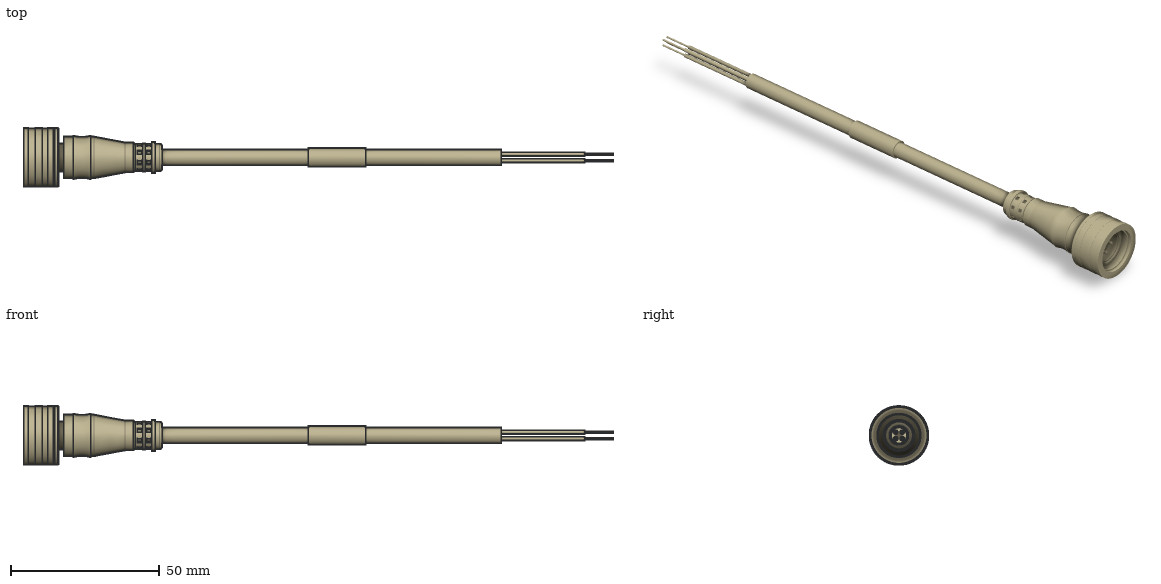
import cadquery as cq

TOTAL_LENGTH = 198.8

NUT_LENGTH = 12.0
NUT_DIA = 19.9
NUT_GROOVE_DIA = 19.7
NUT_GROOVES = [(1.5, 4.0), (6.4, 8.2), (10.0, 10.5)]
NUT_BACK_CHAMFER = 0.4
NUT_MOUTH_DIA = 15.1
NUT_MOUTH_DEPTH = 1.2
NUT_BORE_DIA = 14.1
NUT_BACK_WALL = 2.0

INSERT_START = 3.4
INSERT_DIA = 14.0
RIM_DIA = 12.7
RIM_LENGTH = 0.2
CUP_MOUTH_DIA = 11.1
CUP_MOUTH_DEPTH = 0.5
CUP_DIA = 10.3
CUP_DEPTH = 4.0
PIN_DIA = 1.05
PIN_LENGTH = 3.2
PIN_BOSS_DIA = 2.0
PIN_BOSS_LENGTH = 0.4
PIN_CIRCLE_RADIUS = 2.5
CENTRE_BOSS_DIA = 2.0
PIN_COUNT = 4
NECK_DIA = 9.5
GRIP_START = 13.5
GRIP_DIA = 14.1
BAND_START = 16.7
BAND_END = 22.7
BAND_DIA = 14.7
BAND_WAIST_DIA = 14.0
CONE_START = 23.7
CONE_END = 34.2
CONE_END_DIA = 10.1
COLLAR_END = 37.5
COLLAR_CHAMFER = 0.5
RELIEF_DIA = 9.3
RIB_START = 43.1
RIB_WIDTH = 1.2
RIB_DIA = 10.5
RING_START = 40.2
RING_WIDTH = 0.8
RING_DIA = 9.5
PLUG_END = 46.7
PLUG_END_FILLET = 1.0
WINDOW_STARTS = [38.4, 41.5]
WINDOW_LENGTH = 1.4
WINDOW_WIDTH = 1.4
WINDOW_DEPTH = 1.0
WINDOWS_AROUND = 8

CABLE_DIA = 5.4
CABLE_START = CONE_END
CABLE_END = 161.0
SLEEVE_START = 96.0
SLEEVE_END = 115.3
SLEEVE_DIA = 6.4
WIRE_COUNT = 4
WIRE_DIA = 1.31
WIRE_OFFSET = 1.1
INSULATION_END = 189.0
CONDUCTOR_DIA = 0.64


def cylinder(start, end, dia):
    """A cylinder on the X axis."""
    return cq.Workplane("YZ").workplane(offset=start).circle(dia / 2).extrude(end - start)


def cone(start, end, start_dia, end_dia):
    outline = [(start, 0), (start, start_dia / 2), (end, end_dia / 2), (end, 0)]
    return cq.Workplane("XY").polyline(outline).close().revolve(360, (0, 0), (1, 0))


def tube(start, end, outer_dia, inner_dia):
    return cylinder(start, end, outer_dia).cut(cylinder(start, end, inner_dia))


def turn(shape, angle):
    return shape.rotate((0, 0, 0), (1, 0, 0), angle)


def make_nut():
    nut = cylinder(0, NUT_LENGTH, NUT_DIA).faces(">X").chamfer(NUT_BACK_CHAMFER)
    for start, end in NUT_GROOVES:
        nut = nut.cut(tube(start, end, NUT_DIA, NUT_GROOVE_DIA))
    nut = nut.cut(cylinder(0, NUT_MOUTH_DEPTH, NUT_MOUTH_DIA))
    nut = nut.cut(cylinder(0, NUT_LENGTH - NUT_BACK_WALL, NUT_BORE_DIA))
    return nut.cut(cylinder(0, NUT_LENGTH, NECK_DIA))


def make_insert():
    insert_end = NUT_LENGTH - NUT_BACK_WALL
    floor = INSERT_START + CUP_DEPTH
    insert = cylinder(INSERT_START, INSERT_START + RIM_LENGTH, RIM_DIA)
    insert = insert.union(cylinder(INSERT_START + RIM_LENGTH, insert_end, INSERT_DIA))
    insert = insert.cut(cylinder(INSERT_START, INSERT_START + CUP_MOUTH_DEPTH, CUP_MOUTH_DIA))
    insert = insert.cut(cylinder(INSERT_START, floor, CUP_DIA))
    insert = insert.union(cylinder(floor - PIN_BOSS_LENGTH, floor, CENTRE_BOSS_DIA))
    for i in range(PIN_COUNT):
        pin = cylinder(floor - PIN_LENGTH, floor, PIN_DIA)
        pin = pin.union(cylinder(floor - PIN_BOSS_LENGTH, floor, PIN_BOSS_DIA))
        pin = pin.translate((0, 0, PIN_CIRCLE_RADIUS))
        insert = insert.union(turn(pin, i * 360 / PIN_COUNT))
    return insert.union(cylinder(insert_end, GRIP_START, NECK_DIA))


def make_grip():
    """The turned outline from the neck to the cone, with a concave finger band."""
    band_radius = BAND_DIA / 2
    outline = (
        cq.Workplane("XY")
        .moveTo(GRIP_START, 0)
        .lineTo(GRIP_START, GRIP_DIA / 2)
        .lineTo(BAND_START, GRIP_DIA / 2)
        .lineTo(BAND_START, band_radius)
        .threePointArc(((BAND_START + BAND_END) / 2, BAND_WAIST_DIA / 2), (BAND_END, band_radius))
        .lineTo(BAND_END, GRIP_DIA / 2)
        .lineTo(CONE_START, GRIP_DIA / 2)
        .lineTo(CONE_START, 0)
        .close()
    )
    return outline.revolve(360, (0, 0), (1, 0))


def make_strain_relief():
    relief = cylinder(COLLAR_END, PLUG_END, RELIEF_DIA).faces(">X").edges().fillet(PLUG_END_FILLET)
    for start in WINDOW_STARTS:
        for i in range(WINDOWS_AROUND):
            window = cq.Workplane("XY").box(
                WINDOW_LENGTH, WINDOW_WIDTH, RELIEF_DIA, centered=(False, True, False)
            ).translate((start, 0, RELIEF_DIA / 2 - WINDOW_DEPTH))
            relief = relief.cut(turn(window, (i + 0.5) * 360 / WINDOWS_AROUND))
    relief = relief.union(cylinder(RING_START, RING_START + RING_WIDTH, RING_DIA))
    return relief.union(cylinder(RIB_START, RIB_START + RIB_WIDTH, RIB_DIA))


def make_plug():
    plug = make_insert()
    plug = plug.union(make_grip())
    plug = plug.union(cone(CONE_START, CONE_END, GRIP_DIA, CONE_END_DIA))
    collar = cylinder(CONE_END, COLLAR_END, CONE_END_DIA)
    plug = plug.union(collar.faces(">X").chamfer(COLLAR_CHAMFER))
    plug = plug.union(make_strain_relief())
    return plug.cut(cylinder(CABLE_START, PLUG_END, CABLE_DIA))


def make_cable():
    cable = cylinder(CABLE_START, CABLE_END, CABLE_DIA)
    cable = cable.union(cylinder(SLEEVE_START, SLEEVE_END, SLEEVE_DIA))
    for i in range(WIRE_COUNT):
        wire = cylinder(CABLE_END, INSULATION_END, WIRE_DIA)
        wire = wire.union(cylinder(INSULATION_END, TOTAL_LENGTH, CONDUCTOR_DIA))
        wire = wire.translate((0, WIRE_OFFSET, WIRE_OFFSET))
        cable = cable.union(turn(wire, i * 360 / WIRE_COUNT))
    return cable


nut = make_nut()
plug = make_plug()
cable = make_cable()

result = cq.Compound.makeCompound([nut.val(), plug.val(), cable.val()])